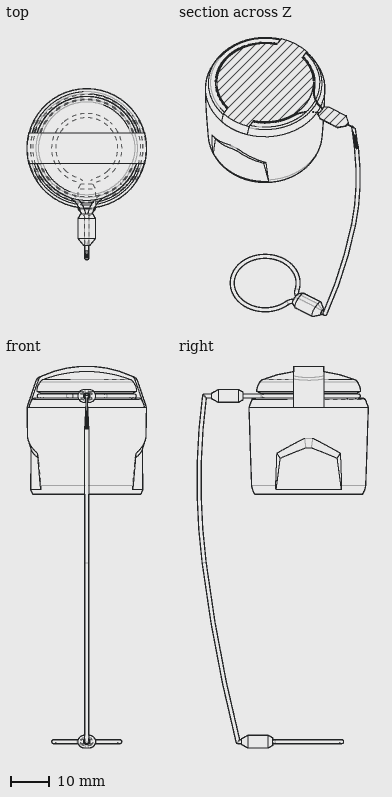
import cadquery as cq
import math

BASE_RADIUS = 13.9
BEVEL_RADIUS = 14.75
BEVEL_HEIGHT = 2.35
BEVEL_BULGE = 0.15
BODY_RADIUS = 15.43
BODY_HEIGHT = 22.4
BODY_BULGE = 0.12

SHOULDER_RADIUS = 14.65
SHOULDER_HEIGHT = 24.5
SHOULDER_BULGE = 0.05
LEDGE_RADIUS = 14.1
LEDGE_HEIGHT = 24.85
LEDGE_BULGE = 0.1
NECK_RADIUS = 12.5
NECK_TOP = 26.15
LIP_RADIUS = 13.45
LIP_HEIGHT = 26.6
LIP_BULGE = 0.2
RIM_RADIUS = 12.65
RIM_HEIGHT = 28.95
RIM_BULGE = 0.1
DOME_RADIUS = 12.0
DOME_HEIGHT = 29.6
DOME_TOP = 31.95

BAR_WIDTH = 7.8
BAR_TOP = 33.1
BAR_FOOT_RADIUS = 15.47
BAR_CORNER_RADIUS = 12.75
BAR_CORNER_HEIGHT = 30.0
BAR_CORNER_FILLET = 1.3
BAR_END_BULGE = 0.15

POCKET_FLOOR_RADIUS = 14.45
POCKET_RIM_RADIUS = 15.1
POCKET_SILL_HEIGHT = 1.3
POCKET_FLOOR_CORNERS = [(0.7, 12.0), (7.3, 9.3), (8.4, POCKET_SILL_HEIGHT)]
POCKET_RIM_CORNERS = [(0.95, 13.95), (8.1, 10.5), (8.9, POCKET_SILL_HEIGHT)]
POCKET_INNER_RADIUS = 14.0
POCKET_OUTER_RADIUS = 15.9

CORD_RADIUS = 0.55
STRAND_OFFSET = 0.75
UPPER_LOOP_HEIGHT = 25.4
UPPER_LOOP_RADIUS = 12.8
UPPER_LOOP_BEND = 7.0
LOWER_LOOP_HEIGHT = -63.75
LOWER_LOOP_RADIUS = 8.5
LOWER_LOOP_BEND = 2.3
FERRULE_LENGTH = 5.2
FERRULE_BACK_LENGTH = 1.2
FERRULE_FRONT_LENGTH = 1.7
FERRULE_BODY_OVAL = (1.68, 0.6)
FERRULE_BACK_OVAL = (1.0, 0.6)
FERRULE_FRONT_OVAL = (0.75, 0.1)
UPPER_FERRULE_Y = -18.1
LOWER_FERRULE_Y = -10.45

CORD_TOP = (-26.85, UPPER_LOOP_HEIGHT)
CORD_OUTERMOST = (-28.28, 5.0)
CORD_JOINT = (-26.95, -17.6)
CORD_BOTTOM = (-18.2, LOWER_LOOP_HEIGHT)


def bulged_midpoint(start, end, bulge):
    """Midpoint of a profile stretch (r, z), pushed outward along r."""
    return ((start[0] + end[0]) / 2 + bulge, (start[1] + end[1]) / 2)


def crown_arc_radius(edge_radius, edge_height, top_height):
    """Radius of the circular arc that rises from a crown's edge to its top centre."""
    rise = top_height - edge_height
    return (edge_radius**2 + rise**2) / (2 * rise)


def crown_point(edge_radius, edge_height, top_height):
    """Halfway point of the circular arc from a crown's top centre to its edge."""
    crown_radius = crown_arc_radius(edge_radius, edge_height, top_height)
    half_angle = math.asin(edge_radius / crown_radius) / 2
    drop = crown_radius * (1 - math.cos(half_angle))
    return (crown_radius * math.sin(half_angle), top_height - drop)


def rod(path, start, direction):
    """Round cord swept along a wire that begins at start in the given direction."""
    plane = cq.Plane(origin=start, normal=direction)
    return cq.Workplane(plane).circle(CORD_RADIUS).sweep(path)


def cap_body():
    base = (BASE_RADIUS, 0)
    bevel = (BEVEL_RADIUS, BEVEL_HEIGHT)
    body_top = (BODY_RADIUS, BODY_HEIGHT)
    shoulder = (SHOULDER_RADIUS, SHOULDER_HEIGHT)
    ledge = (LEDGE_RADIUS, LEDGE_HEIGHT)
    lip = (LIP_RADIUS, LIP_HEIGHT)
    rim = (RIM_RADIUS, RIM_HEIGHT)
    dome_edge = (DOME_RADIUS, DOME_HEIGHT)
    return (
        cq.Workplane("XZ")
        .lineTo(*base)
        .threePointArc(bulged_midpoint(base, bevel, BEVEL_BULGE), bevel)
        .threePointArc(bulged_midpoint(bevel, body_top, BODY_BULGE), body_top)
        .threePointArc(bulged_midpoint(body_top, shoulder, SHOULDER_BULGE), shoulder)
        .threePointArc(bulged_midpoint(shoulder, ledge, LEDGE_BULGE), ledge)
        .lineTo(NECK_RADIUS, LEDGE_HEIGHT)
        .lineTo(NECK_RADIUS, NECK_TOP)
        .lineTo(*lip)
        .threePointArc(bulged_midpoint(lip, rim, LIP_BULGE), rim)
        .threePointArc(bulged_midpoint(rim, dome_edge, RIM_BULGE), dome_edge)
        .threePointArc(crown_point(DOME_RADIUS, DOME_HEIGHT, DOME_TOP), (0, DOME_TOP))
        .close()
        .revolve(360, (0, 0), (0, 1))
    )


def grip_bar():
    """Bar with a crowned top whose ends follow a bulged cone around the cap axis."""
    slope = (BAR_FOOT_RADIUS - BAR_CORNER_RADIUS) / (BAR_CORNER_HEIGHT - BODY_HEIGHT)
    foot = (BAR_FOOT_RADIUS, BODY_HEIGHT)
    cone_top = (BAR_FOOT_RADIUS - slope * (BAR_TOP - BODY_HEIGHT), BAR_TOP)
    cone = (
        cq.Workplane("XZ")
        .moveTo(0, BODY_HEIGHT)
        .lineTo(*foot)
        .threePointArc(bulged_midpoint(foot, cone_top, BAR_END_BULGE), cone_top)
        .lineTo(0, BAR_TOP)
        .close()
        .revolve(360, (0, 0), (0, 1))
    )
    crown_radius = crown_arc_radius(BAR_CORNER_RADIUS, BAR_CORNER_HEIGHT, BAR_TOP)
    end_height = BAR_TOP - crown_radius + math.sqrt(crown_radius**2 - BAR_FOOT_RADIUS**2)
    crown = (
        cq.Workplane("XZ")
        .moveTo(-BAR_FOOT_RADIUS, BODY_HEIGHT)
        .lineTo(-BAR_FOOT_RADIUS, end_height)
        .threePointArc((0, BAR_TOP), (BAR_FOOT_RADIUS, end_height))
        .lineTo(BAR_FOOT_RADIUS, BODY_HEIGHT)
        .close()
        .extrude(BAR_WIDTH / 2, both=True)
    )
    bar = crown.intersect(cone)
    for end in (-1, 1):
        corner = (end * BAR_CORNER_RADIUS, 0, BAR_CORNER_HEIGHT)
        bar = bar.edges(cq.selectors.NearestToPointSelector(corner)).fillet(BAR_CORNER_FILLET)
    return bar


def pocket_point(radius, corner_fraction, side):
    """Point of the pocket outline at a given distance from the cap axis, on the +X side.

    Whole values of corner_fraction are outline corners, values between them lie on the
    stretch that joins two corners.
    """
    depth_fraction = (radius - POCKET_FLOOR_RADIUS) / (POCKET_RIM_RADIUS - POCKET_FLOOR_RADIUS)
    index = min(int(corner_fraction), len(POCKET_FLOOR_CORNERS) - 2)
    along = corner_fraction - index

    def on_outline(corners, outline_radius):
        (width_a, height_a), (width_b, height_b) = corners[index:index + 2]
        angle_a = math.asin(width_a / outline_radius)
        angle_b = math.asin(width_b / outline_radius)
        return (angle_a + along * (angle_b - angle_a), height_a + along * (height_b - height_a))

    floor_angle, floor_height = on_outline(POCKET_FLOOR_CORNERS, POCKET_FLOOR_RADIUS)
    rim_angle, rim_height = on_outline(POCKET_RIM_CORNERS, POCKET_RIM_RADIUS)
    angle = side * (floor_angle + depth_fraction * (rim_angle - floor_angle))
    height = floor_height + depth_fraction * (rim_height - floor_height)
    return cq.Vector(radius * math.cos(angle), radius * math.sin(angle), height)


def pocket_ring(radius):
    """Closed chain of edges around the pocket, at a given distance from the cap axis."""
    last = len(POCKET_FLOOR_CORNERS) - 1

    def side_edge(side, index):
        start, middle, end = [pocket_point(radius, index + step, side) for step in (0, 0.5, 1)]
        return cq.Edge.makeThreePointArc(start, middle, end)

    def cross_edge(index):
        start = pocket_point(radius, index, 1)
        return cq.Edge.makeThreePointArc(
            start,
            cq.Vector(radius, 0, start.z),
            pocket_point(radius, index, -1),
        )

    positive_side = [side_edge(1, index) for index in range(last)]
    negative_side = [side_edge(-1, index) for index in reversed(range(last))]
    return positive_side + [cross_edge(last)] + negative_side + [cross_edge(0)]


def side_pocket():
    """Cutter with flaring walls; the cylinder under the pocket floor is kept."""
    inner = pocket_ring(POCKET_INNER_RADIUS)
    outer = pocket_ring(POCKET_OUTER_RADIUS)
    faces = [cq.Face.makeRuledSurface(a, b) for a, b in zip(inner, outer)]
    faces += [cq.Face.makeNSidedSurface(ring, []) for ring in (inner, outer)]
    flare = cq.Workplane(cq.Solid.makeSolid(cq.Shell.makeShell(faces)))
    floor = cq.Workplane("XY").circle(POCKET_FLOOR_RADIUS).extrude(BODY_HEIGHT, both=True)
    return flare.cut(floor)


def cord_loop(loop_radius, bend_radius, height, ferrule_y):
    """Loop around the Z axis whose two ends bend side by side into a ferrule."""
    bend_x = STRAND_OFFSET + bend_radius
    bend_y = -math.sqrt((loop_radius + bend_radius) ** 2 - bend_x**2)
    touch = loop_radius / (loop_radius + bend_radius)
    touch_x = bend_x * touch
    touch_y = bend_y * touch
    end_y = ferrule_y - FERRULE_LENGTH / 2
    path = (
        cq.Workplane("XY", origin=(0, 0, height))
        .moveTo(STRAND_OFFSET, end_y)
        .lineTo(STRAND_OFFSET, bend_y)
        .tangentArcPoint((touch_x, touch_y), relative=False)
        .threePointArc((0, loop_radius), (-touch_x, touch_y))
        .tangentArcPoint((-STRAND_OFFSET, bend_y), relative=False)
        .lineTo(-STRAND_OFFSET, end_y)
    )
    return rod(path, (STRAND_OFFSET, end_y, height), (0, 1, 0))


def ferrule(start_y, height):
    """Oval barrel lying along Y; its back end tapers slightly and its front end runs to the cord."""

    def oval(y, section):
        radius, offset = section
        return cq.Workplane("XZ", origin=(0, y, height)).slot2D(2 * (radius + offset), 2 * radius)

    def section_between(y_a, section_a, y_b, section_b):
        wires = [oval(y_a, section_a).val(), oval(y_b, section_b).val()]
        return cq.Workplane(cq.Solid.makeLoft(wires, True))

    end_y = start_y - FERRULE_LENGTH
    back_y = start_y + FERRULE_BACK_LENGTH
    front_y = end_y - FERRULE_FRONT_LENGTH
    barrel = oval(start_y, FERRULE_BODY_OVAL).extrude(FERRULE_LENGTH)
    back = section_between(back_y, FERRULE_BACK_OVAL, start_y, FERRULE_BODY_OVAL)
    front = section_between(end_y, FERRULE_BODY_OVAL, front_y, FERRULE_FRONT_OVAL)
    return barrel.union(back).union(front)


def straight_cord(ferrule_y, corner):
    """Cord from the middle of a ferrule to a corner of the hanging cord, with a round joint."""
    corner_y, height = corner
    start_y = ferrule_y - FERRULE_LENGTH / 2
    start = cq.Workplane("XZ", origin=(0, start_y, height))
    joint = cq.Workplane("XY", origin=(0, corner_y, height)).sphere(CORD_RADIUS)
    return start.circle(CORD_RADIUS).extrude(start_y - corner_y).union(joint)


def hanging_cord():
    """Cord between the two ferrules, made of two arcs that run smoothly into each other."""
    top, outermost, joint, bottom = [
        cq.Vector(0, *point) for point in (CORD_TOP, CORD_OUTERMOST, CORD_JOINT, CORD_BOTTOM)
    ]
    upper_arc = cq.Edge.makeThreePointArc(top, outermost, joint)
    lower_arc = cq.Edge.makeTangentArc(joint, upper_arc.tangentAt(1), bottom)
    path = cq.Wire.assembleEdges([upper_arc, lower_arc])
    return rod(path, top, upper_arc.tangentAt(0))


cap = cap_body().union(grip_bar())
pocket = side_pocket()
cap = cap.cut(pocket).cut(pocket.rotate((0, 0, 0), (0, 0, 1), 180))

upper_end = (
    cord_loop(UPPER_LOOP_RADIUS, UPPER_LOOP_BEND, UPPER_LOOP_HEIGHT, UPPER_FERRULE_Y)
    .union(ferrule(UPPER_FERRULE_Y, UPPER_LOOP_HEIGHT))
    .union(straight_cord(UPPER_FERRULE_Y, CORD_TOP))
)
lower_end = (
    cord_loop(LOWER_LOOP_RADIUS, LOWER_LOOP_BEND, LOWER_LOOP_HEIGHT, LOWER_FERRULE_Y)
    .union(ferrule(LOWER_FERRULE_Y, LOWER_LOOP_HEIGHT))
    .union(straight_cord(LOWER_FERRULE_Y, CORD_BOTTOM))
)
result = cap.union(upper_end).union(hanging_cord()).union(lower_end)